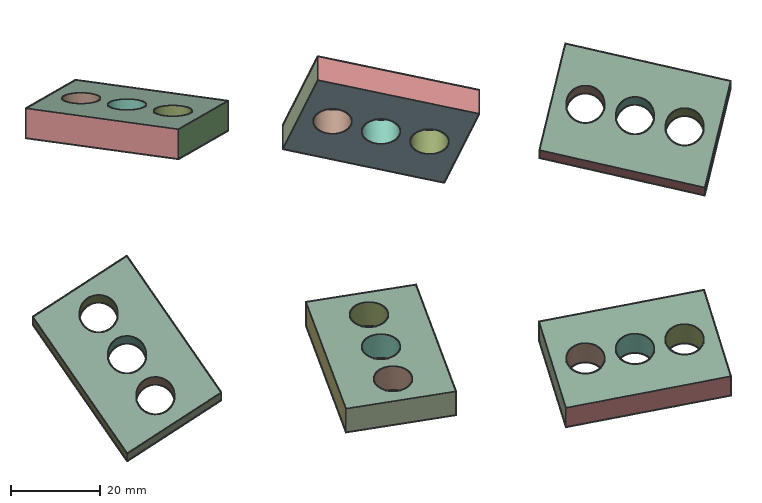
import cadquery as cq

length = 38.1
width = 25.4
thickness = 7.0

hole_diameter = 8.65
hole_spacing = 11.43
hole_count = 3

plate = cq.Workplane("XY").box(length, width, thickness)

result = (
    plate.faces(">Z")
    .workplane()
    .rarray(hole_spacing, 0.4, hole_count, 1)
    .hole(hole_diameter)
)